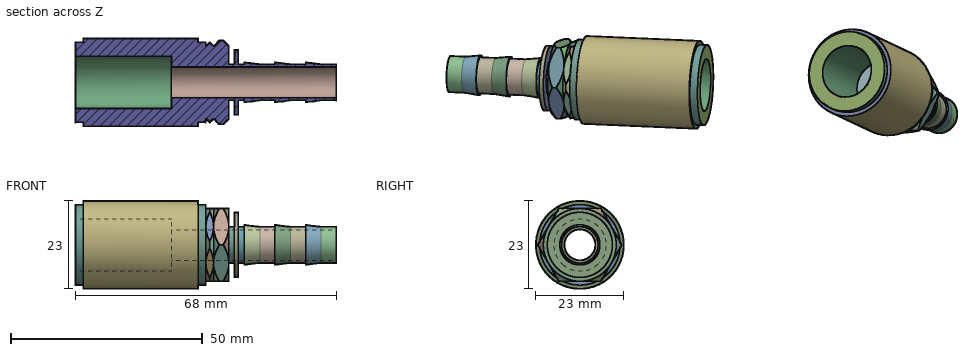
import cadquery as cq
import math


COLLAR_RADIUS = 10.5
COLLAR_LENGTH = 2.0
SLEEVE_RADIUS = 11.5
SLEEVE_LENGTH = 30.0
SLEEVE_START = COLLAR_LENGTH
SLEEVE_END = SLEEVE_START + SLEEVE_LENGTH

HEX_ACROSS_FLATS = 19.0
HEX_FLAT_RADIUS = HEX_ACROSS_FLATS / 2
HEX_CORNER_RADIUS = HEX_FLAT_RADIUS / math.cos(math.radians(30))
THIN_HEX_START = SLEEVE_END + COLLAR_LENGTH
THIN_HEX_LENGTH = 2.0
THICK_HEX_START = THIN_HEX_START + THIN_HEX_LENGTH
THICK_HEX_LENGTH = 4.0
THICK_HEX_END = THICK_HEX_START + THICK_HEX_LENGTH

TAIL_RADIUS = 4.75
FLANGE_RADIUS = 8.5
HEX_TO_FLANGE_GAP = 1.4
FLANGE_START = THICK_HEX_END + HEX_TO_FLANGE_GAP
FLANGE_THICKNESS = 1.1
BARB_COUNT = 3
BARB_RADIUS = 5.25
BARB_LENGTH = 4.0
BARB_PITCH = 8.0
HEX_TO_BARB_GAP = 4.0
FIRST_BARB_START = THICK_HEX_END + HEX_TO_BARB_GAP
TAIL_END = FIRST_BARB_START + BARB_COUNT * BARB_PITCH

THROUGH_BORE_RADIUS = 4.0
INLET_BORE_RADIUS = 6.8
INLET_BORE_DEPTH = 25.0


def disc(start, length, radius):
    """Cylinder along X."""
    return cq.Workplane("YZ", origin=(start, 0, 0)).circle(radius).extrude(length)


def revolved(profile):
    """Solid of revolution about X from (x, radius) points."""
    return cq.Workplane("XY").polyline(profile).close().revolve(360, (0, 0, 0), (1, 0, 0))


def bevelled_hex(start, length):
    """Hexagon with corners on the Y axis and its corners cut by a 45 degree cone at each end."""
    prism = (
        cq.Workplane("YZ", origin=(start, 0, 0))
        .polygon(6, 2 * HEX_CORNER_RADIUS)
        .extrude(length)
    )
    end = start + length
    middle = start + length / 2
    double_cone = revolved([
        (start, 0),
        (start, HEX_FLAT_RADIUS),
        (middle, HEX_FLAT_RADIUS + length / 2),
        (end, HEX_FLAT_RADIUS),
        (end, 0),
    ])
    return prism.intersect(double_cone)


def barb(start):
    """Cone with its sharp step toward the flange, tapering to the tail."""
    end = start + BARB_LENGTH
    return revolved([(start, 0), (start, BARB_RADIUS), (end, TAIL_RADIUS), (end, 0)])


def sleeve():
    collars = disc(0, THIN_HEX_START, COLLAR_RADIUS)
    return collars.union(disc(SLEEVE_START, SLEEVE_LENGTH, SLEEVE_RADIUS))


def hose_tail():
    tail = disc(THICK_HEX_END, TAIL_END - THICK_HEX_END, TAIL_RADIUS)
    tail = tail.union(disc(FLANGE_START, FLANGE_THICKNESS, FLANGE_RADIUS))
    for index in range(BARB_COUNT):
        tail = tail.union(barb(FIRST_BARB_START + index * BARB_PITCH))
    return tail


body = (
    sleeve()
    .union(bevelled_hex(THIN_HEX_START, THIN_HEX_LENGTH))
    .union(bevelled_hex(THICK_HEX_START, THICK_HEX_LENGTH))
    .union(hose_tail())
)

result = (
    body
    .cut(disc(0, TAIL_END, THROUGH_BORE_RADIUS))
    .cut(disc(0, INLET_BORE_DEPTH, INLET_BORE_RADIUS))
)